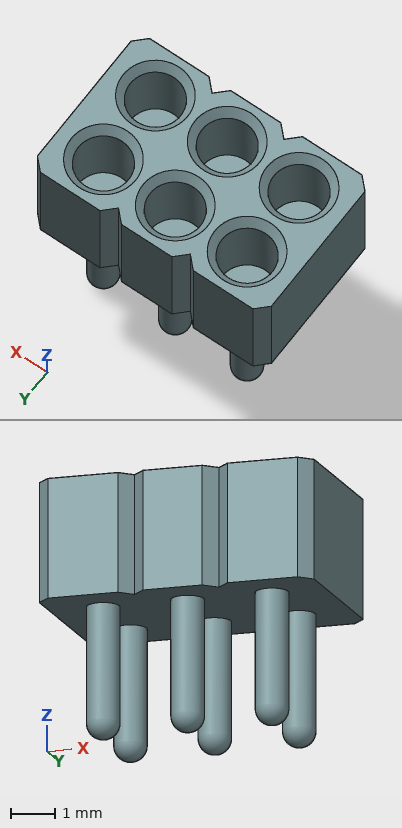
import cadquery as cq

pitch = 2.0
columns = 3
rows = 2
body_length = 6.51
body_width = 4.2
body_height = 2.8
overall_height = 5.9
groove_depth = 0.3

socket_diameter = 1.4
socket_depth = 2.0
mouth_diameter = 1.8
mouth_depth = 0.2

pin_diameter = 0.76
pin_radius = pin_diameter / 2
pin_length = overall_height - body_height

contact_positions = [
    ((column - (columns - 1) / 2) * pitch, (row - (rows - 1) / 2) * pitch)
    for column in range(columns)
    for row in range(rows)
]


def make_housing():
    """Block with chamfered vertical corners, its underside at Z = 0."""
    block = cq.Workplane("XY").box(body_length, body_width, body_height, centered=(True, True, False))
    return block.edges("|Z").chamfer(groove_depth)


def make_groove_cutters():
    """Square bars turned 45 degrees, one on each long side between neighbouring columns."""
    groove_positions = [
        ((gap - (columns - 2) / 2) * pitch, side * body_width / 2)
        for gap in range(columns - 1)
        for side in (-1, 1)
    ]
    return (
        cq.Workplane("XY")
        .pushPoints(groove_positions)
        .polygon(4, 2 * groove_depth)
        .extrude(body_height)
    )


def make_socket_cutter():
    """Blind round hole with a conical mouth, revolved about its own axis."""
    mouth_bottom = body_height - mouth_depth
    return (
        cq.Workplane("XZ")
        .moveTo(0, body_height - socket_depth)
        .lineTo(socket_diameter / 2, body_height - socket_depth)
        .lineTo(socket_diameter / 2, mouth_bottom)
        .lineTo(mouth_diameter / 2, body_height)
        .lineTo(0, body_height)
        .close()
        .revolve(360, (0, 0, 0), (0, 1, 0))
    )


def make_pin():
    """Round pin hanging from the underside, ending in a hemisphere."""
    shank_length = pin_length - pin_radius
    shank = cq.Workplane("XY").circle(pin_radius).extrude(-shank_length)
    tip = cq.Workplane("XY").sphere(pin_radius).translate((0, 0, -shank_length))
    return shank.union(tip)


result = make_housing().cut(make_groove_cutters())
for x, y in contact_positions:
    result = result.cut(make_socket_cutter().translate((x, y, 0)))
    result = result.union(make_pin().translate((x, y, 0)))